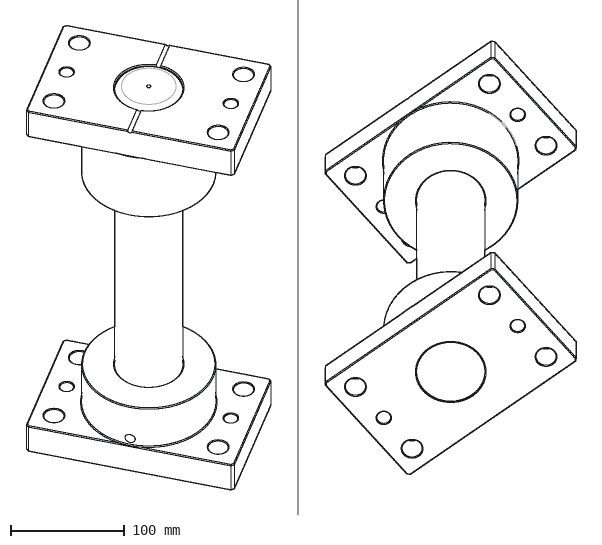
import cadquery as cq

TOTAL_HEIGHT = 400.0
PLATE_LENGTH = 190.0
PLATE_WIDTH = 120.0
PLATE_THICKNESS = 30.0
CORNER_CHAMFER = 2.5
EDGE_CHAMFER = 0.9

BOSS_DIAMETER = 118.0
BOSS_ROOT_FILLET = 0.9
LOWER_HEIGHT = 75.0
UPPER_HEIGHT = 100.0

PIN_DIAMETER = 60.0
PIN_TIP_FILLET = 6.0
PIN_PROTRUSION = 1.5
BORE_CHAMFER = 1.0
CENTER_MOUTH_DIAMETER = 3.5
CENTER_PILOT_DIAMETER = 1.0
CENTER_CONE_ANGLE = 60.0
CENTER_HOLE_DEPTH = 4.0

BOLT_HOLE_DIAMETER = 17.5
DOWEL_HOLE_DIAMETER = 12.0
HOLE_CHAMFER = 1.0
HOLE_SPAN_X = 150.0
BOLT_HOLE_SPAN_Y = 80.0

GROOVE_RADIUS = 2.0
SIDE_HOLE_DIAMETER = 9.0
SIDE_HOLE_Z = 37.5

UPPER_TOP_Z = TOTAL_HEIGHT - PIN_PROTRUSION


def chamfered_cylinder_hole(diameter, height, chamfer):
    """Cutter for a through hole along Z from 0 to height, with a chamfer at both mouths."""
    radius = diameter / 2
    mouth_radius = radius + chamfer
    profile = [
        (0, 0),
        (mouth_radius, 0),
        (radius, chamfer),
        (radius, height - chamfer),
        (mouth_radius, height),
        (0, height),
    ]
    return cq.Workplane("XZ").polyline(profile).close().revolve(360, (0, 0), (0, 1))


def cut_at(body, cutter, points):
    """Cut one copy of the cutter at every (x, y) point."""
    for x, y in points:
        body = body.cut(cutter.translate((x, y, 0)))
    return body


def make_flange(height):
    """Plate on Z = 0 with a boss rising to the given height and a bore for the pin."""
    plate = (
        cq.Workplane("XY")
        .box(PLATE_LENGTH, PLATE_WIDTH, PLATE_THICKNESS, centered=(True, True, False))
        .edges("|Z")
        .chamfer(CORNER_CHAMFER)
        .faces("<Z or >Z")
        .edges()
        .chamfer(EDGE_CHAMFER)
    )
    boss_radius = BOSS_DIAMETER / 2
    root_radius = boss_radius + BOSS_ROOT_FILLET
    fillet_top_z = PLATE_THICKNESS + BOSS_ROOT_FILLET
    boss = (
        cq.Workplane("XZ")
        .moveTo(0, PLATE_THICKNESS - EDGE_CHAMFER)
        .lineTo(root_radius, PLATE_THICKNESS - EDGE_CHAMFER)
        .lineTo(root_radius, PLATE_THICKNESS)
        .radiusArc((boss_radius, fillet_top_z), BOSS_ROOT_FILLET)
        .lineTo(boss_radius, height - EDGE_CHAMFER)
        .lineTo(boss_radius - EDGE_CHAMFER, height)
        .lineTo(0, height)
        .close()
        .revolve(360, (0, 0), (0, 1))
    )
    flange = plate.union(boss)

    bore = chamfered_cylinder_hole(PIN_DIAMETER, height, BORE_CHAMFER)
    flange = flange.cut(bore)

    x = HOLE_SPAN_X / 2
    y = BOLT_HOLE_SPAN_Y / 2
    bolt_hole = chamfered_cylinder_hole(BOLT_HOLE_DIAMETER, PLATE_THICKNESS, HOLE_CHAMFER)
    dowel_hole = chamfered_cylinder_hole(DOWEL_HOLE_DIAMETER, PLATE_THICKNESS, HOLE_CHAMFER)
    flange = cut_at(flange, bolt_hole, [(-x, -y), (-x, y), (x, -y), (x, y)])
    return cut_at(flange, dowel_hole, [(-x, 0), (x, 0)])


def make_lower_flange():
    """Flange with its boss upward and a radial hole from the -Y side into the bore."""
    side_hole = (
        cq.Workplane("XZ")
        .center(0, SIDE_HOLE_Z)
        .circle(SIDE_HOLE_DIAMETER / 2)
        .extrude(PLATE_WIDTH / 2)
    )
    return make_flange(LOWER_HEIGHT).cut(side_hole)


def make_upper_flange():
    """Flange turned boss downward, with a half-round groove across its top face."""
    flange = (
        make_flange(UPPER_HEIGHT)
        .rotate((0, 0, 0), (1, 0, 0), 180)
        .translate((0, 0, UPPER_TOP_Z))
    )
    groove = (
        cq.Workplane("XZ", origin=(0, -PLATE_WIDTH / 2, UPPER_TOP_Z))
        .moveTo(-GROOVE_RADIUS, 0)
        .threePointArc((0, -GROOVE_RADIUS), (GROOVE_RADIUS, 0))
        .close()
        .extrude(-PLATE_WIDTH)
    )
    return flange.cut(groove)


def make_pin():
    """Full-height pin with a rounded upper end and a small countersunk center hole."""
    return (
        cq.Workplane("XY")
        .circle(PIN_DIAMETER / 2)
        .extrude(TOTAL_HEIGHT)
        .faces(">Z")
        .edges()
        .fillet(PIN_TIP_FILLET)
        .faces(">Z")
        .workplane()
        .cskHole(CENTER_PILOT_DIAMETER, CENTER_MOUTH_DIAMETER, CENTER_CONE_ANGLE, CENTER_HOLE_DEPTH)
    )


lower_flange = make_lower_flange()
upper_flange = make_upper_flange()
pin = make_pin()

result = cq.Compound.makeCompound([lower_flange.val(), upper_flange.val(), pin.val()])